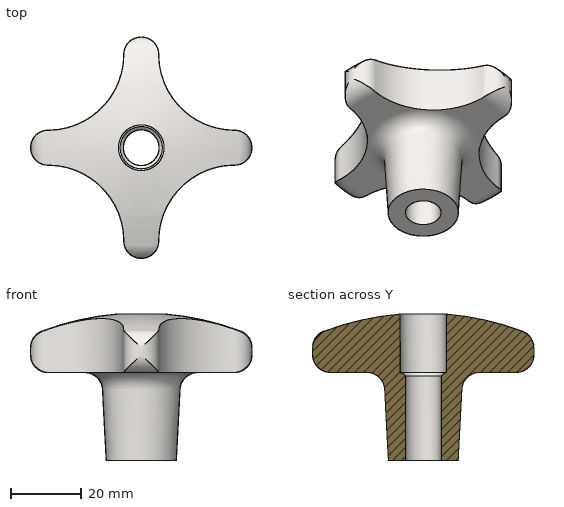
import cadquery as cq
import math


head_radius = 31.5
head_bottom_z = 25.0
dome_apex_z = 42.0
dome_radius = 80.0
rim_radius = 5.0

arm_half_width = 5.0
arm_round_centre = head_radius - arm_half_width
scallop_radius = arm_round_centre - arm_half_width

hub_end_radius = 10.0
hub_taper = math.radians(3.0)
hub_fillet_radius = 5.0

bore_radius = 5.05
bore_mouth_radius = 6.0
bore_mouth_depth = bore_mouth_radius - bore_radius
counterbore_radius = 6.5
counterbore_floor_z = head_bottom_z


def point_on_circle(centre, radius, angle):
    """Point at the given angle on a circle in the radius-height plane."""
    return (centre[0] + radius * math.cos(angle), centre[1] + radius * math.sin(angle))


def revolve_profile(profile):
    """Turn a closed radius-height profile into a solid about the Z axis."""
    return profile.close().revolve(360, (0, 0, 0), (0, 1, 0))


def make_hub_and_head():
    dome_centre = (0, dome_apex_z - dome_radius)
    rim_centre_r = head_radius - rim_radius
    dome_end_angle = math.acos(rim_centre_r / (dome_radius - rim_radius))
    upper_rim_centre = point_on_circle(dome_centre, dome_radius - rim_radius, dome_end_angle)
    lower_rim_centre = (rim_centre_r, head_bottom_z + rim_radius)
    dome_end = point_on_circle(dome_centre, dome_radius, dome_end_angle)
    dome_mid = point_on_circle(dome_centre, dome_radius, (dome_end_angle + math.pi / 2) / 2)

    fillet_centre_z = head_bottom_z - hub_fillet_radius
    fillet_start_z = fillet_centre_z + hub_fillet_radius * math.sin(hub_taper)
    fillet_start_r = hub_end_radius + fillet_start_z * math.tan(hub_taper)
    fillet_centre = (fillet_start_r + hub_fillet_radius * math.cos(hub_taper), fillet_centre_z)
    fillet_start_angle = math.pi - hub_taper
    fillet_mid_angle = (fillet_start_angle + math.pi / 2) / 2
    fillet_mid = point_on_circle(fillet_centre, hub_fillet_radius, fillet_mid_angle)

    profile = (
        cq.Workplane("XZ")
        .moveTo(0, 0)
        .lineTo(hub_end_radius, 0)
        .lineTo(fillet_start_r, fillet_start_z)
        .threePointArc(fillet_mid, (fillet_centre[0], head_bottom_z))
        .lineTo(rim_centre_r, head_bottom_z)
        .threePointArc(
            point_on_circle(lower_rim_centre, rim_radius, -math.pi / 4),
            (head_radius, lower_rim_centre[1]),
        )
        .lineTo(head_radius, upper_rim_centre[1])
        .threePointArc(
            point_on_circle(upper_rim_centre, rim_radius, dome_end_angle / 2),
            dome_end,
        )
        .threePointArc(dome_mid, (0, dome_apex_z))
    )
    return revolve_profile(profile)


def quarter_turned(point, quarters):
    """Point turned about the origin by a number of quarter turns."""
    x, y = point
    for _ in range(quarters):
        x, y = -y, x
    return (x, y)


def make_arm_envelope():
    """Upright prism with the four-arm outline: rounded tips joined by scallops."""
    near = arm_half_width
    far = arm_round_centre
    scallop_near = far - scallop_radius * math.sqrt(0.5)
    outline = cq.Workplane("XY").moveTo(far, -near)
    for quarter in range(4):
        tip = quarter_turned((head_radius, 0), quarter)
        scallop_start = quarter_turned((far, near), quarter)
        scallop_mid = quarter_turned((scallop_near, scallop_near), quarter)
        scallop_end = quarter_turned((near, far), quarter)
        outline = outline.threePointArc(tip, scallop_start).threePointArc(scallop_mid, scallop_end)
    return outline.close().extrude(dome_apex_z)


def make_bore():
    """Through hole with a lead-in cone, opened out by a counterbore from the top."""
    profile = (
        cq.Workplane("XZ")
        .moveTo(0, 0)
        .lineTo(bore_radius, 0)
        .lineTo(bore_radius, counterbore_floor_z - bore_mouth_depth)
        .lineTo(bore_mouth_radius, counterbore_floor_z)
        .lineTo(counterbore_radius, counterbore_floor_z)
        .lineTo(counterbore_radius, dome_apex_z)
        .lineTo(0, dome_apex_z)
    )
    return revolve_profile(profile)


result = make_hub_and_head().intersect(make_arm_envelope()).cut(make_bore())